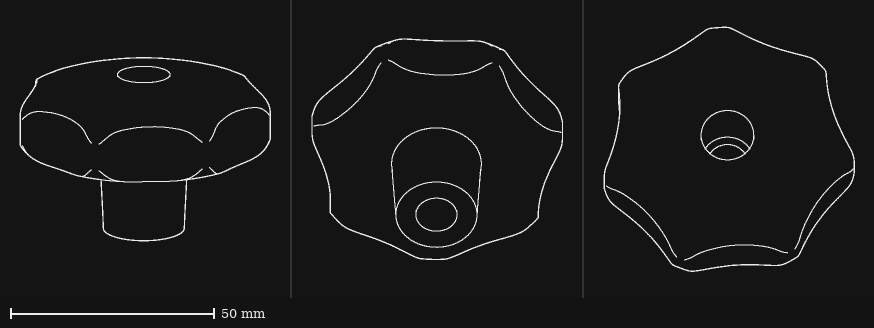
import cadquery as cq
import math

lobe_count = 7
knob_radius = 31.5
waist_radius = 27.2
edge_radius = 4.5
stem_height = 20.95
stem_bottom_radius = 10.0
stem_top_radius = 11.05
total_height = 39.75
dome_radius = 78.3
lower_bore_radius = 5.05
upper_bore_radius = 6.5

dome_center_z = total_height - math.sqrt(dome_radius**2 - upper_bore_radius**2)
dome_apex_z = dome_center_z + dome_radius

rim_center_r = knob_radius - edge_radius
rim_center_z = dome_center_z + math.sqrt((dome_radius - edge_radius) ** 2 - rim_center_r**2)
dome_edge_angle = math.asin(rim_center_r / (dome_radius - edge_radius))

lobe_pitch = 2 * math.pi / lobe_count
tip_side = rim_center_r * math.sin(lobe_pitch / 2)
tip_gap = waist_radius - rim_center_r * math.cos(lobe_pitch / 2)
scallop_radius = (tip_side**2 + tip_gap**2 - edge_radius**2) / (2 * (edge_radius - tip_gap))
scallop_center_r = waist_radius + scallop_radius
tangent_share = scallop_radius / (scallop_radius + edge_radius)
tangent_x = tip_side * tangent_share
tangent_y = scallop_center_r + (waist_radius - tip_gap - scallop_center_r) * tangent_share
tangent_r = math.hypot(tangent_x, tangent_y)
tangent_angle = math.atan2(tangent_x, tangent_y)


def polar(radius, angle):
    return (radius * math.cos(angle), radius * math.sin(angle))


def rim_point(angle, center_z):
    """Point on a rim rounding, with the angle measured from straight up."""
    return (rim_center_r + edge_radius * math.sin(angle), center_z + edge_radius * math.cos(angle))


def dome_point(angle):
    return (dome_radius * math.sin(angle), dome_center_z + dome_radius * math.cos(angle))


def make_round_head():
    lower_rim_z = stem_height + edge_radius
    return (
        cq.Workplane("XZ")
        .moveTo(0, stem_height)
        .lineTo(rim_center_r, stem_height)
        .threePointArc(rim_point(math.radians(135), lower_rim_z), (knob_radius, lower_rim_z))
        .lineTo(knob_radius, rim_center_z)
        .threePointArc(
            rim_point((math.pi / 2 + dome_edge_angle) / 2, rim_center_z),
            rim_point(dome_edge_angle, rim_center_z),
        )
        .threePointArc(dome_point(dome_edge_angle / 2), (0, dome_apex_z))
        .close()
        .revolve(360, (0, 0, 0), (0, 1, 0))
    )


def make_star_prism():
    """Prism with rounded tips, one of them pointing along +Y."""
    first_waist = math.pi / 2 - lobe_pitch / 2
    outline = cq.Workplane("XY").moveTo(*polar(tangent_r, first_waist + tangent_angle))
    for lobe in range(lobe_count):
        waist = first_waist + lobe * lobe_pitch
        next_waist = waist + lobe_pitch
        outline = outline.threePointArc(
            polar(knob_radius, waist + lobe_pitch / 2),
            polar(tangent_r, next_waist - tangent_angle),
        ).threePointArc(
            polar(waist_radius, next_waist),
            polar(tangent_r, next_waist + tangent_angle),
        )
    return outline.close().extrude(dome_apex_z)


def make_cone(bottom_radius, top_radius, height):
    return cq.Workplane(cq.Solid.makeCone(bottom_radius, top_radius, height))


def make_stepped_bore():
    """Through bore with a 45 degree shoulder that ends level with the top of the stem."""
    shoulder_height = upper_bore_radius - lower_bore_radius
    return (
        cq.Workplane("XZ")
        .lineTo(lower_bore_radius, 0)
        .lineTo(lower_bore_radius, stem_height - shoulder_height)
        .lineTo(upper_bore_radius, stem_height)
        .lineTo(upper_bore_radius, dome_apex_z)
        .lineTo(0, dome_apex_z)
        .close()
        .revolve(360, (0, 0, 0), (0, 1, 0))
    )


head = make_round_head().intersect(make_star_prism())
stem = make_cone(stem_bottom_radius, stem_top_radius, stem_height)
result = head.union(stem).cut(make_stepped_bore())